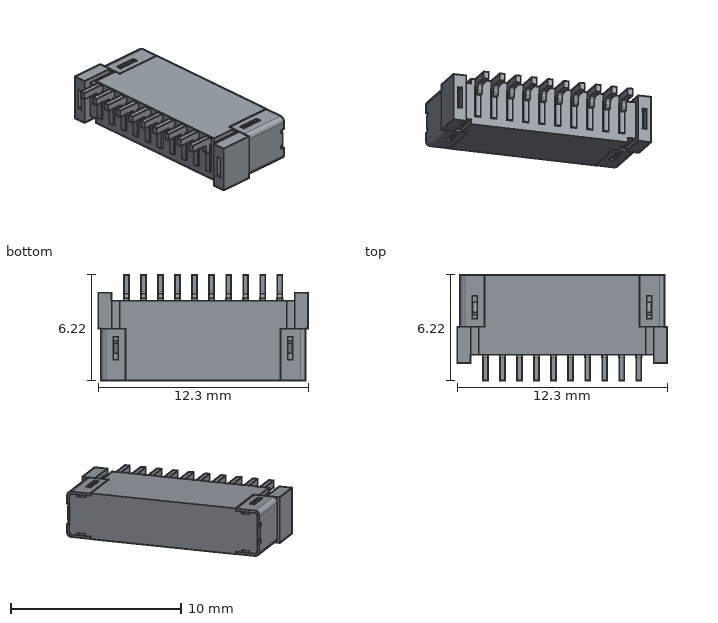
import cadquery as cq


overall_length = 12.34
overall_depth = 6.22
height = 2.81
half_length = overall_length / 2
mid_height = height / 2

front_y = 4.70
tail_tip_y = front_y - overall_depth
clip_depth = 3.065
clip_rear_y = front_y - clip_depth
ear_rear_y = -0.48

ear_width = 0.80
ear_inner_x = half_length - ear_width
ear_slot_width = 0.26
ear_slot_height = 1.25
ear_slot_x = half_length - ear_width / 2
ear_slot_depth = 0.5

clip_thickness = 0.15
clip_bend_radius = 0.3
clip_outer_x = half_length - 0.15
clip_length = 1.46
clip_height = height - 0.02
clip_inner_x = clip_outer_x - clip_length
clip_end_gap = 0.03
middle_edge_x = clip_inner_x - clip_end_gap

groove_width = 0.47
groove_depth = 0.29
groove_x = ear_inner_x - groove_width / 2

window_width = 0.29
window_rear_y = 2.12
window_front_y = 3.46
window_x = half_length - 1.055
latch_width = 0.27
latch_rear_y = 2.34
latch_ramp_y = 2.49
latch_front_y = 3.10
latch_crest_depth = 0.08

notch_depth = 0.11
relief_width = 0.24
relief_depth = 0.27
relief_offset = 0.51
relief_end_radius = 0.499 * relief_width

tail_count = 10
tail_pitch = 1.0
tail_width = 0.305
tail_thickness = 0.42
tail_drop = 0.58
tail_top_radius = 0.13
tail_inner_radius = 0.13
tail_lower_radius = 0.25

rib_width = 0.33
rib_top_z = height - 0.48
rib_bottom_z = height - 2.31
rib_projection = 0.13


def block(x_range, y_range, z_range):
    """Box between the given limits on each axis."""
    (x0, x1), (y0, y1), (z0, z1) = x_range, y_range, z_range
    return cq.Workplane("XY").box(x1 - x0, y1 - y0, z1 - z0, centered=False).translate((x0, y0, z0))


def centred(middle, width):
    """Limits of a width centred on a place."""
    return (middle - width / 2, middle + width / 2)


def mirror_in_z(shape):
    """The same shape on the opposite side of mid height."""
    return shape.mirror("XY", (0, 0, mid_height))


def rounded_end_bar(inset):
    """Bar at the +X end with rounded long edges, set in from the clip's outer surface."""
    bar = block(
        (clip_inner_x, clip_outer_x - inset),
        (clip_rear_y, front_y),
        centred(mid_height, clip_height - 2 * inset),
    )
    return bar.edges("|Y and >X").fillet(clip_bend_radius - inset)


def make_latch():
    """Ramped latch standing on the floor of the top groove at the +X end."""
    floor_z = height - groove_depth
    crest_z = height - latch_crest_depth
    return (
        cq.Workplane("YZ", origin=(window_x - latch_width / 2, 0, 0))
        .moveTo(latch_rear_y, floor_z)
        .lineTo(latch_rear_y, crest_z)
        .lineTo(latch_ramp_y, crest_z)
        .lineTo(latch_front_y, floor_z)
        .close()
        .extrude(latch_width)
    )


def make_housing_end():
    """+X end of the housing: seat for the clip, grooves, latches and ear."""
    rear_block = block((middle_edge_x, ear_inner_x), (0, clip_rear_y), (0, height))
    clip_seat = block(
        (middle_edge_x, clip_inner_x),
        (clip_rear_y, front_y),
        centred(mid_height, clip_height - 2 * clip_thickness),
    ).union(rounded_end_bar(clip_thickness))
    ear = block((ear_inner_x, half_length), (ear_rear_y, clip_rear_y), (0, height))
    ear_slot = block(
        centred(ear_slot_x, ear_slot_width),
        (ear_rear_y, ear_rear_y + ear_slot_depth),
        centred(mid_height, ear_slot_height),
    )
    groove = block(centred(groove_x, groove_width), (0, front_y), (height - groove_depth, height))
    latch = make_latch()

    end = rear_block.union(clip_seat).union(ear).cut(ear_slot)
    end = end.cut(groove).cut(mirror_in_z(groove))
    return end.union(latch).union(mirror_in_z(latch))


def make_tail():
    """One contact tail, stepped down from its solder run to the run entering the housing."""
    lower_top_z = height - tail_drop
    lower_z = lower_top_z - tail_thickness
    upper_z = height - tail_thickness
    root_y = tail_thickness
    profile = (
        cq.Workplane("YZ", origin=(-tail_width / 2, 0, 0))
        .moveTo(root_y, lower_z)
        .lineTo(root_y, lower_top_z)
        .lineTo(0, lower_top_z)
        .lineTo(0, height - tail_top_radius)
        .radiusArc((-tail_top_radius, height), -tail_top_radius)
        .lineTo(tail_tip_y, height)
        .lineTo(tail_tip_y, upper_z)
        .lineTo(-tail_thickness - tail_inner_radius, upper_z)
        .radiusArc((-tail_thickness, upper_z - tail_inner_radius), tail_inner_radius)
        .lineTo(-tail_thickness, lower_z + tail_lower_radius)
        .radiusArc((-tail_thickness + tail_lower_radius, lower_z), -tail_lower_radius)
        .close()
    )
    return profile.extrude(tail_width)


def make_housing():
    """Housing with its contact tails."""
    housing = block((-middle_edge_x, middle_edge_x), (0, front_y), (0, height))
    end = make_housing_end()
    housing = housing.union(end).union(end.mirror("YZ"))

    tail = make_tail()
    rib = block(centred(0, rib_width), (-rib_projection, 0), (rib_bottom_z, rib_top_z))
    contact = tail.union(rib)
    for index in range(tail_count):
        contact_x = (index - (tail_count - 1) / 2) * tail_pitch
        housing = housing.union(contact.translate((contact_x, 0, 0)))
    return housing


def make_clip():
    """C-shaped clip for the +X end of the housing."""
    clip = rounded_end_bar(0).cut(rounded_end_bar(clip_thickness))

    window = block(
        centred(window_x, window_width),
        (window_rear_y, window_front_y),
        (0, height),
    )
    clip = clip.cut(window)

    wall_x_range = (clip_outer_x - clip_thickness, clip_outer_x)
    notch = block(wall_x_range, (front_y - notch_depth, front_y), centred(mid_height, 2 * relief_offset))
    clip = clip.cut(notch)
    for side in (-1, 1):
        relief = block(
            wall_x_range,
            (front_y - relief_depth, front_y),
            centred(mid_height + side * relief_offset, relief_width),
        )
        relief = relief.edges("|X and <Y").fillet(relief_end_radius)
        clip = clip.cut(relief)
    return clip


housing = make_housing()
right_clip = make_clip()
clips = [right_clip, right_clip.mirror("YZ")]

result = cq.Compound.makeCompound([housing.val(), *(clip.val() for clip in clips)])